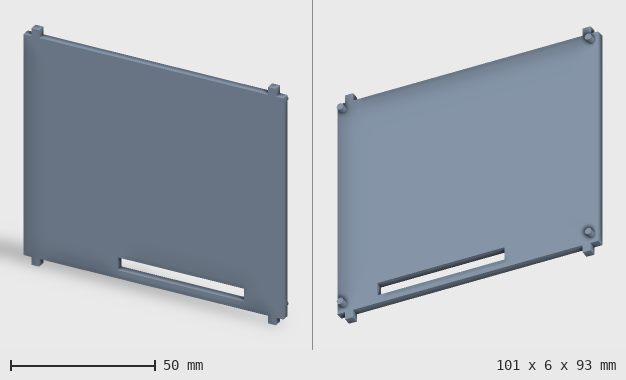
import cadquery as cq

width = 101.0
total_height = 93.0
thickness = 3.0
tab_size = 3.0
tab_inset = 3.0
panel_height = total_height - 2 * tab_size

slot_width = 49.2
slot_height = 5.0
slot_left_gap = 36.4
slot_bottom_gap = 3.2

pin_diameter = 2.5
total_depth = 6.0
pin_length = total_depth - thickness
pin_side_inset = 2.5
pin_end_inset = 3.1


def block(size_x, size_z, center_x, center_z):
    """Plate-thick block standing on the front face plane."""
    return (
        cq.Workplane("XY")
        .box(size_x, thickness, size_z)
        .translate((center_x, thickness / 2, center_z))
    )


def pin(center_x, center_z):
    """Pin rising from the back face along +Y."""
    base = cq.Vector(center_x, thickness, center_z)
    return cq.Solid.makeCylinder(pin_diameter / 2, pin_length, base, cq.Vector(0, 1, 0))


tab_x = width / 2 - tab_inset - tab_size / 2
tab_z = (panel_height + tab_size) / 2
pin_x = width / 2 - pin_side_inset
pin_z = panel_height / 2 - pin_end_inset
slot_x = -width / 2 + slot_left_gap + slot_width / 2
slot_z = -panel_height / 2 + slot_bottom_gap + slot_height / 2

result = block(width, panel_height, 0, 0)
result = result.cut(block(slot_width, slot_height, slot_x, slot_z))

for side_x in (-1, 1):
    for side_z in (-1, 1):
        result = result.union(block(tab_size, tab_size, side_x * tab_x, side_z * tab_z))
        result = result.union(pin(side_x * pin_x, side_z * pin_z))